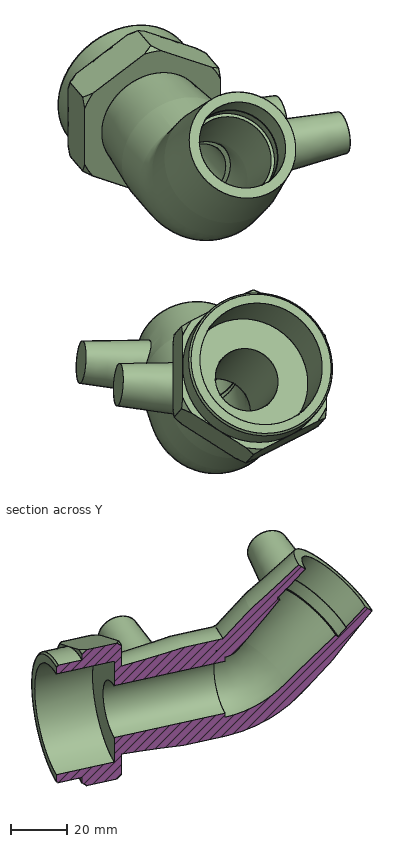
import cadquery as cq
import math

collar_diameter = 52.8
collar_length = 9.7
collar_chamfer = 0.7
hex_across_flats = collar_diameter
hex_length = 15.1
hex_chamfer_width = 1.7
hex_chamfer_depth = 1.8
nut_bore_diameter = 44.9
nut_bore_depth = 22.0
nut_length = collar_length + hex_length

elbow_diameter = 44.0
arm_end_diameter = 39.6
taper_length = 23.6
straight_length = 15.6
arm_length = taper_length + straight_length
bend_radius = 20.0
bend_angle = 45.0
bend_line_gap = 0.02
bend_start = nut_length + arm_length

inlet_passage_diameter = 23.0
bend_passage_diameter = 26.6
outlet_passage_diameter = 30.0
socket_diameter = 32.0
socket_depth = 14.9
socket_relief_diameter = 32.4
socket_relief_start = 10.5

peg_tip_diameter = 15.2
peg_root_diameter = 21.8
peg_tip_y = 43.0
peg_from_arm_end = 14.3

turn = math.radians(bend_angle)
bend_end_x = bend_start + bend_radius * math.sin(turn)
bend_end_z = bend_radius * (1 - math.cos(turn))
outlet_x = bend_end_x + arm_length * math.cos(turn)
outlet_z = bend_end_z + arm_length * math.sin(turn)

inlet_plane = cq.Plane(origin=(0, 0, 0), xDir=(0, 1, 0), normal=(1, 0, 0))
outlet_plane = cq.Plane(
    origin=(outlet_x, 0, outlet_z),
    xDir=(0, 1, 0),
    normal=(-math.cos(turn), 0, -math.sin(turn)),
)
arm_root_plane = cq.Plane(origin=(nut_length, 0, 0), xDir=(0, 1, 0), normal=(1, 0, 0))


def make_nut():
    collar = (
        cq.Workplane(inlet_plane)
        .circle(collar_diameter / 2)
        .extrude(collar_length)
        .faces("<X")
        .chamfer(collar_chamfer)
    )
    corner_diameter = hex_across_flats / math.cos(math.pi / 6)
    hexagon = (
        cq.Workplane(inlet_plane)
        .workplane(offset=collar_length)
        .transformed(rotate=(0, 0, 90))
        .polygon(6, corner_diameter)
        .extrude(hex_length)
    )
    blank = (
        cq.Workplane(inlet_plane)
        .workplane(offset=collar_length)
        .circle(corner_diameter / 2)
        .extrude(hex_length)
        .faces("<X or >X")
        .chamfer(hex_chamfer_depth, hex_chamfer_width)
    )
    return collar.union(hexagon.intersect(blank))


def make_arm(end_plane):
    taper = (
        cq.Workplane(end_plane)
        .circle(arm_end_diameter / 2)
        .workplane(offset=taper_length)
        .circle(elbow_diameter / 2)
        .loft(ruled=True)
    )
    straight = (
        cq.Workplane(end_plane)
        .workplane(offset=taper_length)
        .circle(elbow_diameter / 2)
        .extrude(straight_length)
    )
    return taper.union(straight)


def make_bend(diameter):
    """Sweep a round section around the bend, trimmed where it would cross the bend line."""
    radius = diameter / 2
    chord_height = bend_radius - bend_line_gap
    section = cq.Workplane("YZ", origin=(bend_start, 0, 0))
    if radius > chord_height:
        half_chord = math.sqrt(radius**2 - chord_height**2)
        section = (
            section.moveTo(-half_chord, chord_height)
            .threePointArc((0, -radius), (half_chord, chord_height))
            .close()
        )
    else:
        section = section.circle(radius)
    mid_x = bend_start + bend_radius * math.sin(turn / 2)
    mid_z = bend_radius * (1 - math.cos(turn / 2))
    path = (
        cq.Workplane("XZ")
        .moveTo(bend_start, 0)
        .threePointArc((mid_x, mid_z), (bend_end_x, bend_end_z))
    )
    return section.sweep(path)


def make_peg(x, z):
    return (
        cq.Workplane("XZ", origin=(x, 0, z))
        .circle(peg_root_diameter / 2)
        .workplane(offset=-peg_tip_y)
        .circle(peg_tip_diameter / 2)
        .loft(ruled=True)
    )


def bore(plane, diameter, depth):
    return cq.Workplane(plane).circle(diameter / 2).extrude(depth)


def make_outlet_passage():
    return (
        cq.Workplane(outlet_plane)
        .workplane(offset=socket_depth)
        .circle(outlet_passage_diameter / 2)
        .workplane(offset=arm_length - socket_depth)
        .circle(bend_passage_diameter / 2)
        .loft(ruled=True)
    )


def make_socket():
    relief = (
        cq.Workplane(outlet_plane)
        .workplane(offset=socket_relief_start)
        .circle(socket_relief_diameter / 2)
        .extrude(socket_depth - socket_relief_start)
    )
    return bore(outlet_plane, socket_diameter, socket_depth).union(relief)


inlet_peg = make_peg(nut_length + peg_from_arm_end, 0)
outlet_peg = make_peg(
    outlet_x - peg_from_arm_end * math.cos(turn),
    outlet_z - peg_from_arm_end * math.sin(turn),
)

result = (
    make_nut()
    .union(make_arm(arm_root_plane))
    .union(make_bend(elbow_diameter))
    .union(make_arm(outlet_plane))
    .union(inlet_peg)
    .union(outlet_peg)
    .cut(bore(inlet_plane, nut_bore_diameter, nut_bore_depth))
    .cut(bore(inlet_plane, inlet_passage_diameter, bend_start))
    .cut(make_bend(bend_passage_diameter))
    .cut(make_outlet_passage())
    .cut(make_socket())
)